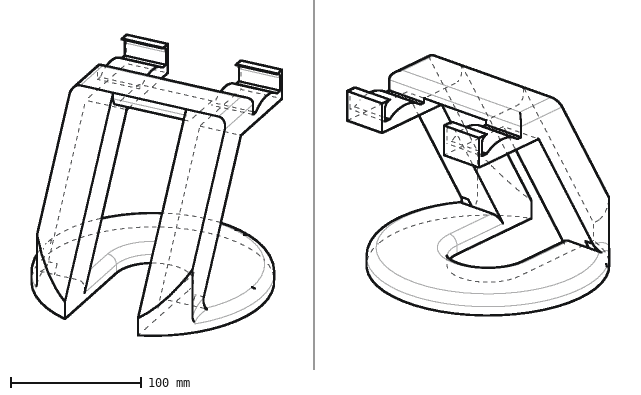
import cadquery as cq
import math

base_radius = 93.3
base_height = 15.0
total_height = 157.5
edge_round = 7.5
rim_radius = base_radius - edge_round
rim_z = base_height - edge_round

arm_outer_x = 66.8
gap_half_width = 31.4
lean_angle = 60.0
toe_y = -math.sqrt(base_radius**2 - gap_half_width**2)

shelf_bottom_z = 132.5
seat_z = 141.1
knee_y = 18.0
hook_back_y = 88.1
hook_inner_y = 84.5
lip_radius = 5.6
bar_back_y = 38.6
bar_thickness = 12.7

cradle_back_y = 79.2
cradle_front_y = 43.0
cradle_rise = 6.0

blend_steps = 8
blend_overlap = 0.04

lean_slope = math.tan(math.radians(lean_angle))
arm_top_front_y = toe_y + (total_height - base_height) / lean_slope
heel_y = knee_y - shelf_bottom_z / lean_slope


def make_base():
    """Round disc with an open slot, rounded along its upper edges."""
    slot = (
        cq.Workplane("XY")
        .moveTo(-gap_half_width, -base_radius)
        .lineTo(-gap_half_width, 0)
        .threePointArc((0, gap_half_width), (gap_half_width, 0))
        .lineTo(gap_half_width, -base_radius)
        .close()
        .extrude(base_height)
    )
    disc = cq.Workplane("XY").circle(base_radius).extrude(base_height)
    return disc.cut(slot).faces(">Z").edges().fillet(edge_round)


def make_frame():
    """Leaning arms and hooks from one side profile, joined by the top bar."""
    diagonal = lip_radius * math.sqrt(0.5)
    round_diagonal = edge_round * math.sqrt(0.5)
    lip_center_y = hook_inner_y - lip_radius
    lip_center_z = total_height - lip_radius
    frame = (
        cq.Workplane("YZ")
        .moveTo(toe_y, 0)
        .lineTo(toe_y, base_height)
        .lineTo(arm_top_front_y, total_height)
        .lineTo(bar_back_y - edge_round, total_height)
        .threePointArc(
            (bar_back_y - edge_round + round_diagonal, total_height - edge_round + round_diagonal),
            (bar_back_y, total_height - edge_round),
        )
        .lineTo(bar_back_y, seat_z)
        .lineTo(cradle_front_y, seat_z)
        .threePointArc(
            ((cradle_front_y + cradle_back_y) / 2, seat_z + cradle_rise),
            (cradle_back_y, seat_z),
        )
        .lineTo(hook_inner_y, seat_z)
        .lineTo(hook_inner_y, lip_center_z)
        .threePointArc(
            (lip_center_y + diagonal, lip_center_z + diagonal),
            (lip_center_y, total_height),
        )
        .lineTo(hook_back_y, total_height)
        .lineTo(hook_back_y, shelf_bottom_z)
        .lineTo(knee_y, shelf_bottom_z)
        .lineTo(heel_y, 0)
        .close()
        .extrude(arm_outer_x, both=True)
    )

    bar_depth = bar_back_y - arm_top_front_y
    bar_middle_y = (arm_top_front_y + bar_back_y) / 2
    side_limit = (
        cq.Workplane("XY", origin=(0, toe_y, 0))
        .box(2 * arm_outer_x, bar_back_y - toe_y, total_height, centered=(True, False, False))
        .edges("|Y and >Z")
        .fillet(edge_round)
    )
    frame = frame.intersect(side_limit.union(make_hook_space()))

    gap = cq.Workplane("XY").box(
        2 * gap_half_width, 3 * base_radius, total_height, centered=(True, True, False)
    )
    bar_bottom_z = total_height - bar_thickness
    bar = (
        cq.Workplane("XY", origin=(0, bar_middle_y, bar_bottom_z))
        .box(
            2 * gap_half_width,
            bar_depth,
            bar_thickness,
            centered=(True, True, False),
        )
        .edges("|X and <Y and <Z")
        .fillet(edge_round)
    )
    return frame.cut(gap.cut(bar))


def make_hook_space():
    """Space behind the top bar that holds the hooks."""
    return cq.Workplane("XY", origin=(0, bar_back_y, 0)).box(
        2 * arm_outer_x, hook_back_y - bar_back_y, total_height, centered=(True, False, False)
    )


def make_outline():
    """Round footprint that trims the toes, widened behind for the hooks."""
    disc = cq.Workplane("XY").circle(base_radius).extrude(total_height)
    return disc.union(make_hook_space())


def make_foot_blend():
    """Concave blend between the outer side of the +X foot and the rounded rim.

    A ball of the edge radius rolls against the side of the foot and the rim,
    so its centre stays two radii away from the centre circle of the rim round.
    The small overlap makes the ball cut cleanly into both surfaces.
    """
    ball_x = arm_outer_x + edge_round - blend_overlap
    ball_reach = 2 * edge_round - blend_overlap
    inner_x = arm_outer_x - edge_round
    start_y = knee_y - (shelf_bottom_z - rim_z - ball_reach) / lean_slope
    end_y = -math.sqrt((rim_radius + ball_reach) ** 2 - ball_x**2)

    centers = []
    contacts = []
    for step in range(blend_steps + 1):
        y = start_y + (end_y - start_y) * step / blend_steps
        distance = math.hypot(ball_x, y)
        offset = min(distance - rim_radius, ball_reach)
        centers.append((y, rim_z + math.sqrt(ball_reach**2 - offset**2)))
        contact_ratio = (distance + rim_radius) / (2 * distance)
        contacts.append((ball_x * contact_ratio, y * contact_ratio))

    block = (
        cq.Workplane("YZ", origin=(inner_x, 0, 0))
        .moveTo(heel_y, 0)
        .lineTo(*centers[0])
        .spline(centers[1:], includeCurrent=True)
        .lineTo(end_y, 0)
        .close()
        .extrude(2 * edge_round)
    )
    footprint = (
        cq.Workplane("XY")
        .moveTo(inner_x, heel_y + base_height)
        .lineTo(inner_x, end_y)
        .lineTo(arm_outer_x, end_y)
        .lineTo(*contacts[-1])
        .spline(contacts[-2::-1], includeCurrent=True)
        .lineTo(contacts[0][0], heel_y + base_height)
        .close()
        .extrude(total_height)
    )
    ball_path = cq.Workplane("YZ", origin=(ball_x, 0, 0)).spline(centers)
    start_plane = cq.Plane(
        origin=(ball_x, *centers[0]),
        xDir=(1, 0, 0),
        normal=ball_path.val().tangentAt(0).toTuple(),
    )
    ball_sweep = cq.Workplane(start_plane).circle(edge_round).sweep(ball_path)
    return block.intersect(footprint).cut(ball_sweep)


foot_blend = make_foot_blend()
body = make_base().union(make_frame()).union(foot_blend).union(foot_blend.mirror("YZ"))
result = body.intersect(make_outline())